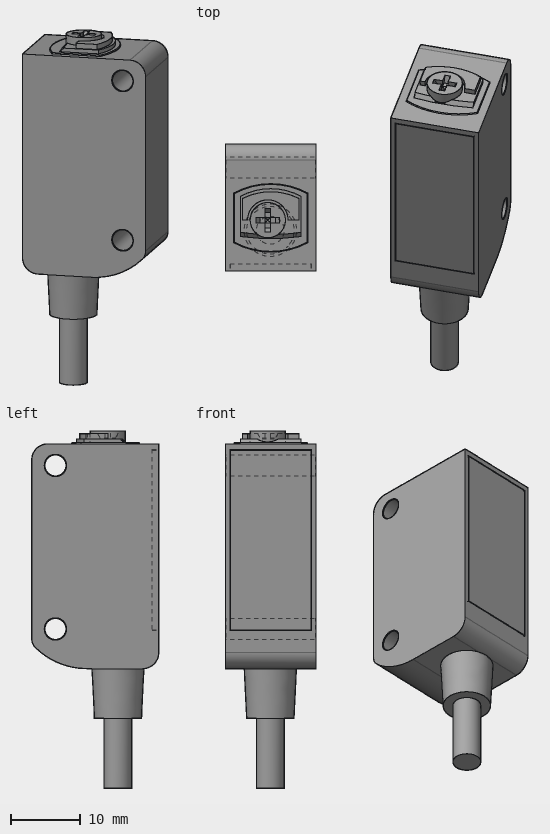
import cadquery as cq
import math

width = 13.0
depth = 18.2
height = 32.2
corner_radius = 2.3
heel_radius = 1.8
belly_radius = 10.5
belly_end_y = 1.2
back = depth / 2
front = -depth / 2

hole_diameter = 3.0
hole_chamfer = 0.1
hole_y = back - 3.4
hole_top_z = height - 3.1
hole_pitch = 23.4

window_width = 11.5
window_height = 25.7
window_thickness = 1.0
window_top_gap = 0.95
window_clearance = 0.1

panel_y = -1.48
plate_width = 10.6
plate_length = 9.8
plate_side_length = 7.1
plate_thickness = 0.15
plate_draft = 35
lower_width = 8.7
lower_back_y = 2.7
lower_back_rise = 1.1
lower_front_y = -4.45
lower_front_rise = 0.3
lower_thickness = 0.55
lower_front_slope = 0.6
upper_width = 8.1
upper_back_y = 2.25
upper_back_rise = 0.95
upper_thickness = 0.75

screw_x = -0.42
screw_y = -1.8
screw_radius = 2.52
screw_clearance_radius = 2.9
screw_stand_out = 0.4
cross_length = 3.35
cross_width = 0.8
cross_depth = 1.0
cross_end_slope = 0.55
cross_pit_depth = 0.4
cross_pit_taper = 45

cable_x = -0.06
cable_y = -3.25
boot_top_radius = 3.75
boot_bottom_radius = 3.4
boot_length = 7.1
cable_radius = 2.0
cable_length = 10.0

plate_top = height + plate_thickness
lower_top = plate_top + lower_thickness
upper_top = lower_top + upper_thickness
screw_top = upper_top + screw_stand_out


def window_block(clearance):
    """Block at the window's place, grown sideways and up and down by the clearance."""
    centre_z = height - window_top_gap - window_height / 2
    return (
        cq.Workplane("XY")
        .box(window_width + 2 * clearance, window_thickness, window_height + 2 * clearance)
        .translate((0, front + window_thickness / 2, centre_z))
    )


def housing_profile():
    """Side outline in the YZ plane; the belly arc is tangent to the heel arc above it."""
    diagonal = math.sqrt(0.5)
    heel_centre_y = back - heel_radius
    centre_distance = belly_radius - heel_radius
    run = heel_centre_y - belly_end_y
    drop = math.sqrt(centre_distance**2 - run**2)
    heel_centre_z = belly_radius - drop
    join_angle = math.atan2(-drop, run)

    def on_heel(angle):
        return (
            heel_centre_y + heel_radius * math.cos(angle),
            heel_centre_z + heel_radius * math.sin(angle),
        )

    belly_middle_angle = (join_angle - math.pi / 2) / 2
    belly_middle = (
        belly_end_y + belly_radius * math.cos(belly_middle_angle),
        belly_radius + belly_radius * math.sin(belly_middle_angle),
    )
    inset = corner_radius * (1 - diagonal)
    return (
        cq.Workplane("YZ", origin=(-width / 2, 0, 0))
        .moveTo(front, height)
        .lineTo(back - corner_radius, height)
        .threePointArc((back - inset, height - inset), (back, height - corner_radius))
        .lineTo(back, heel_centre_z)
        .threePointArc(on_heel(join_angle / 2), on_heel(join_angle))
        .threePointArc(belly_middle, (belly_end_y, 0))
        .lineTo(front + corner_radius, 0)
        .threePointArc((front + inset, inset), (front, corner_radius))
        .close()
    )


def make_housing():
    holes = (
        cq.Workplane("YZ", origin=(-width / 2, 0, 0))
        .pushPoints([(hole_y, hole_top_z), (hole_y, hole_top_z - hole_pitch)])
        .circle(hole_diameter / 2)
        .extrude(width)
    )
    housing = housing_profile().extrude(width).cut(holes)
    housing = housing.edges(cq.selectors.RadiusNthSelector(0)).chamfer(hole_chamfer)
    return housing.cut(window_block(window_clearance))


def bowed_outline(plane, outline_width, back_y, back_rise, front_y, front_rise):
    """Straight sides, with back and front edges that bow outwards to back_y and front_y."""
    half = outline_width / 2
    return (
        plane
        .moveTo(-half, front_y + front_rise)
        .lineTo(-half, back_y - back_rise)
        .threePointArc((0, back_y), (half, back_y - back_rise))
        .lineTo(half, front_y + front_rise)
        .threePointArc((0, front_y), (-half, front_y + front_rise))
        .close()
    )


def screw_cylinder(radius, bottom, top):
    return cq.Workplane("XY", origin=(screw_x, screw_y, bottom)).circle(radius).extrude(top - bottom)


def make_panel():
    plate_bow = (plate_length - plate_side_length) / 2
    plate = bowed_outline(
        cq.Workplane("XY", origin=(0, 0, height)), plate_width,
        panel_y + plate_length / 2, plate_bow,
        panel_y - plate_length / 2, plate_bow,
    ).extrude(plate_thickness, taper=plate_draft)

    lower_foot = bowed_outline(
        cq.Workplane("XY", origin=(0, 0, plate_top)), lower_width,
        lower_back_y, lower_back_rise,
        lower_front_y, lower_front_rise,
    )
    lower = bowed_outline(
        lower_foot.workplane(offset=lower_thickness), lower_width,
        lower_back_y, lower_back_rise,
        lower_front_y + lower_front_slope, lower_front_rise,
    ).loft(ruled=True)

    half = upper_width / 2
    upper = (
        cq.Workplane("XY", origin=(0, 0, lower_top))
        .moveTo(-half, screw_y)
        .lineTo(-half, upper_back_y - upper_back_rise)
        .threePointArc((0, upper_back_y), (half, upper_back_y - upper_back_rise))
        .lineTo(half, screw_y)
        .close()
        .extrude(upper_thickness)
        .cut(screw_cylinder(screw_clearance_radius, lower_top, upper_top))
    )
    screw_seat = screw_cylinder(screw_radius, plate_top, lower_top)
    return plate.union(lower).union(upper).cut(screw_seat)


def make_screw():
    screw = screw_cylinder(screw_radius, plate_top, screw_top)
    floor_length = cross_length - 2 * cross_end_slope
    for angle in (0, 90):
        arm = (
            cq.Workplane("XZ")
            .polyline([
                (-cross_length / 2, 0),
                (cross_length / 2, 0),
                (floor_length / 2, -cross_depth),
                (-floor_length / 2, -cross_depth),
            ])
            .close()
            .extrude(cross_width / 2, both=True)
            .rotate((0, 0, 0), (0, 0, 1), angle)
            .translate((screw_x, screw_y, screw_top))
        )
        screw = screw.cut(arm)
    pit = (
        cq.Workplane("XY", origin=(screw_x, screw_y, screw_top - cross_depth))
        .rect(cross_width, cross_width)
        .extrude(-cross_pit_depth, taper=cross_pit_taper)
    )
    return screw.cut(pit)


def make_boot():
    return (
        cq.Workplane("XY", origin=(cable_x, cable_y, 0))
        .circle(boot_top_radius)
        .workplane(offset=-boot_length)
        .circle(boot_bottom_radius)
        .loft()
    )


def make_cable():
    boot_end = cq.Workplane("XY", origin=(cable_x, cable_y, -boot_length))
    return boot_end.circle(cable_radius).extrude(-cable_length)


window = window_block(0)
housing = make_housing()
panel = make_panel()
screw = make_screw()
boot = make_boot()
cable = make_cable()

result = cq.Compound.makeCompound([
    housing.val(),
    window.val(),
    panel.val(),
    screw.val(),
    boot.val(),
    cable.val(),
])